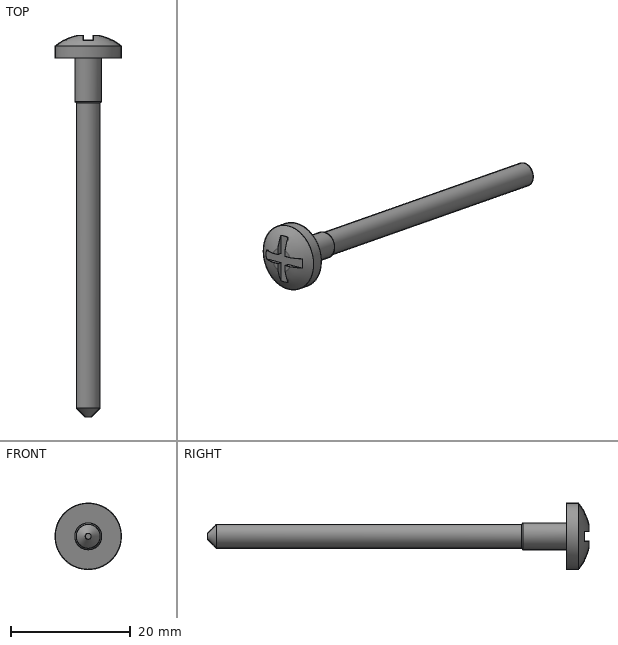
import math

import cadquery as cq

head_diameter = 11.1
rim_height = 2.0
head_height = 3.78
crown_diameter = 4.0
slot_width = 1.6
slot_depth = 0.76

collar_diameter = 4.5
collar_length = 7.5
shank_diameter = 4.0
shank_length = 60.0
tip_diameter = 1.0

head_radius = head_diameter / 2
crown_radius = crown_diameter / 2
collar_radius = collar_diameter / 2
shank_radius = shank_diameter / 2
tip_radius = tip_diameter / 2

collar_taper = collar_radius - shank_radius
tip_taper = shank_radius - tip_radius


def dome_arc_middle():
    """Return a point between the rim edge and the crown edge on a sphere centred on the axis."""
    dome_height = head_height - rim_height
    centre_below_rim = (head_radius**2 - crown_radius**2 - dome_height**2) / (2 * dome_height)
    dome_radius = math.hypot(head_radius, centre_below_rim)
    middle_x = (head_radius + crown_radius) / 2
    middle_y = rim_height - centre_below_rim + math.sqrt(dome_radius**2 - middle_x**2)
    return (middle_x, middle_y)


def make_body():
    """Revolve the half profile of tip, shank, collar, rim and dome about Y."""
    profile = (
        cq.Workplane("XY")
        .moveTo(0, -shank_length)
        .lineTo(tip_radius, -shank_length)
        .lineTo(shank_radius, -shank_length + tip_taper)
        .lineTo(shank_radius, -collar_length)
        .lineTo(collar_radius, -collar_length + collar_taper)
        .lineTo(collar_radius, 0)
        .lineTo(head_radius, 0)
        .lineTo(head_radius, rim_height)
        .threePointArc(dome_arc_middle(), (crown_radius, head_height))
        .lineTo(0, head_height)
        .close()
    )
    return profile.revolve(360, (0, 0, 0), (0, 1, 0))


def make_cross_slot():
    """Two crossing slots that run right across the dome, along X and along Z."""
    slot_centre = (0, head_height - slot_depth / 2, 0)
    slot_along_x = cq.Workplane("XY").box(head_diameter, slot_depth, slot_width)
    slot_along_z = cq.Workplane("XY").box(slot_width, slot_depth, head_diameter)
    return slot_along_x.union(slot_along_z).translate(slot_centre)


result = make_body().cut(make_cross_slot())